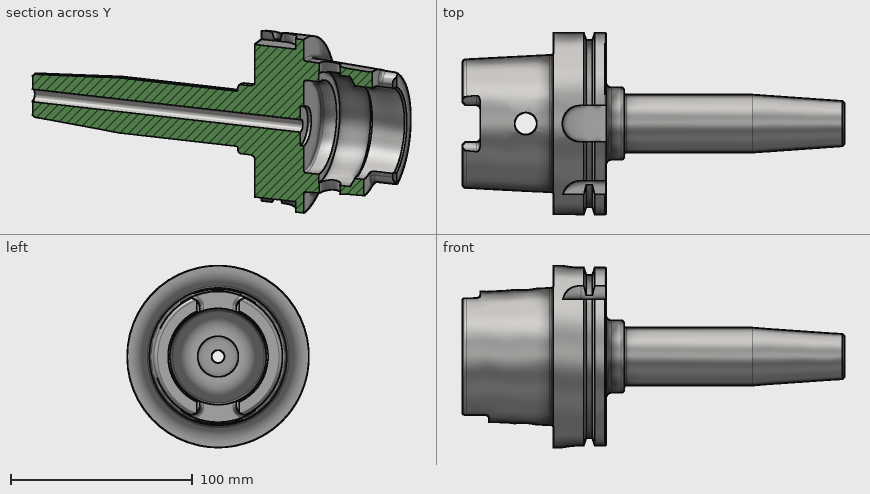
import cadquery as cq
import math


shank_length = 50.0
taper_large_diameter = 75.42
taper_gauge_x = -4.0
taper_rate = 1 / 10
shank_end_fillet = 2.0
taper_end = -2.4
shank_root_fillet = 1.2

flange_diameter = 100.0
flange_width = 29.0
flange_fillet = 0.9
groove_center = 19.7
groove_bottom_diameter = 92.0
groove_bottom_width = 3.4
groove_top_width = 6.0

collar_diameter = 40.0
collar_end = 39.0
collar_edge_fillet = 2.0
collar_base_fillet = 2.7
neck_diameter = 32.0
neck_base_fillet = 0.9
neck_end = 109.2
nose_end = 160.0
nose_diameter = 25.0
nose_chamfer = 1.3

bore_diameter = 53.0
bore_lead_in = 1.0
recess_diameter = 63.0
recess_start = -30.0
recess_end = -9.0
recess_cone_angle = 60.0
bore_floor = 0.0
floor_fillet = 1.3
floor_recess_diameter = 22.38
floor_recess_depth = 2.0
coolant_diameter = 6.92

cross_hole_diameter = 12.0
cross_hole_x = -15.2

notch_width = 20.0
notch_shelf_height = 32.2
notch_shoulder_radius = 5.6
notch_floor_fillet = 2.0
notch_entry_chamfer = 1.7
upper_notch_depth = 9.7
lower_notch_depth = 14.5

keyway_width = 20.0
keyway_floor_height = 44.0
keyway_start = 4.9
corner_notch_offset = 31.4

taper_large_radius = taper_large_diameter / 2
shank_left = -shank_length


def taper_radius(x):
    return taper_large_radius - (taper_gauge_x - x) * taper_rate / 2


def fillet_middle(center_x, center_radius, fillet, side_x, side_radius):
    """Middle point of a quarter arc; the side signs tell which way it bulges from its center."""
    reach = fillet * math.sqrt(0.5)
    return (center_x + side_x * reach, center_radius + side_radius * reach)


def make_body():
    """Revolve the outer outline: shank, flange, collar, neck and nose."""
    end_radius = taper_radius(shank_left)
    root_radius = taper_radius(taper_end)
    flange_radius = flange_diameter / 2
    groove_radius = groove_bottom_diameter / 2
    collar_radius = collar_diameter / 2
    neck_radius = neck_diameter / 2
    nose_radius = nose_diameter / 2

    end_x = shank_left + shank_end_fillet
    end_center = end_radius - shank_end_fillet
    root_center = root_radius + shank_root_fillet
    rim_x = flange_width - flange_fillet
    rim_center = flange_radius - flange_fillet
    base_x = flange_width + collar_base_fillet
    base_center = collar_radius + collar_base_fillet
    edge_x = collar_end - collar_edge_fillet
    edge_center = collar_radius - collar_edge_fillet
    neck_x = collar_end + neck_base_fillet
    neck_center = neck_radius + neck_base_fillet

    return (
        cq.Workplane("XY")
        .moveTo(shank_left, 0)
        .lineTo(shank_left, end_center)
        .threePointArc(fillet_middle(end_x, end_center, shank_end_fillet, -1, 1), (end_x, end_radius))
        .lineTo(taper_end, root_radius)
        .lineTo(-shank_root_fillet, root_radius)
        .threePointArc(
            fillet_middle(-shank_root_fillet, root_center, shank_root_fillet, 1, -1),
            (0, root_center),
        )
        .lineTo(0, flange_radius)
        .lineTo(groove_center - groove_top_width / 2, flange_radius)
        .lineTo(groove_center - groove_bottom_width / 2, groove_radius)
        .lineTo(groove_center + groove_bottom_width / 2, groove_radius)
        .lineTo(groove_center + groove_top_width / 2, flange_radius)
        .lineTo(rim_x, flange_radius)
        .threePointArc(fillet_middle(rim_x, rim_center, flange_fillet, 1, 1), (flange_width, rim_center))
        .lineTo(flange_width, base_center)
        .threePointArc(
            fillet_middle(base_x, base_center, collar_base_fillet, -1, -1),
            (base_x, collar_radius),
        )
        .lineTo(edge_x, collar_radius)
        .threePointArc(
            fillet_middle(edge_x, edge_center, collar_edge_fillet, 1, 1),
            (collar_end, edge_center),
        )
        .lineTo(collar_end, neck_center)
        .threePointArc(
            fillet_middle(neck_x, neck_center, neck_base_fillet, -1, -1),
            (neck_x, neck_radius),
        )
        .lineTo(neck_end, neck_radius)
        .lineTo(nose_end - nose_chamfer, nose_radius)
        .lineTo(nose_end, nose_radius - nose_chamfer)
        .lineTo(nose_end, 0)
        .close()
        .revolve(360, (0, 0, 0), (1, 0, 0))
    )


def make_cavity():
    """Revolve the clamping bore, its wider recess, the stepped floor and the coolant passage."""
    bore_radius = bore_diameter / 2
    recess_radius = recess_diameter / 2
    cone_length = (recess_radius - bore_radius) / math.tan(math.radians(recess_cone_angle))
    floor_recess_radius = floor_recess_diameter / 2
    floor_recess_end = bore_floor + floor_recess_depth
    coolant_radius = coolant_diameter / 2
    arc_offset = floor_fillet * (1 - math.sqrt(0.5))
    return (
        cq.Workplane("XY")
        .moveTo(shank_left, 0)
        .lineTo(shank_left, bore_radius + bore_lead_in)
        .lineTo(shank_left + bore_lead_in, bore_radius)
        .lineTo(recess_start, bore_radius)
        .lineTo(recess_start + cone_length, recess_radius)
        .lineTo(recess_end, recess_radius)
        .lineTo(recess_end, bore_radius)
        .lineTo(bore_floor - floor_fillet, bore_radius)
        .threePointArc(
            (bore_floor - arc_offset, bore_radius - arc_offset),
            (bore_floor, bore_radius - floor_fillet),
        )
        .lineTo(bore_floor, floor_recess_radius)
        .lineTo(floor_recess_end, floor_recess_radius)
        .lineTo(floor_recess_end, coolant_radius)
        .lineTo(nose_end, coolant_radius)
        .lineTo(nose_end, 0)
        .close()
        .revolve(360, (0, 0, 0), (1, 0, 0))
    )


def make_cross_hole():
    return (
        cq.Workplane("XY")
        .center(cross_hole_x, 0)
        .circle(cross_hole_diameter / 2)
        .extrude(taper_large_diameter, both=True)
    )


def make_drive_notch(depth):
    """Upper notch cutter: straight walls that flare over rounded shoulders onto a flat shelf."""
    half_width = notch_width / 2
    arc_start_height = notch_shelf_height - notch_shoulder_radius
    arc_end_y = half_width + notch_shoulder_radius
    arc_offset = notch_shoulder_radius * math.sqrt(0.5)
    arc_middle_y = arc_end_y - arc_offset
    arc_middle_height = arc_start_height + arc_offset
    outer = flange_diameter / 2

    cutter = (
        cq.Workplane("YZ", origin=(shank_left, 0, 0))
        .moveTo(-half_width, 0)
        .lineTo(half_width, 0)
        .lineTo(half_width, arc_start_height)
        .threePointArc((arc_middle_y, arc_middle_height), (arc_end_y, notch_shelf_height))
        .lineTo(outer, notch_shelf_height)
        .lineTo(outer, outer)
        .lineTo(-outer, outer)
        .lineTo(-outer, notch_shelf_height)
        .lineTo(-arc_end_y, notch_shelf_height)
        .threePointArc((-arc_middle_y, arc_middle_height), (-half_width, arc_start_height))
        .close()
        .extrude(depth)
        .faces(">X")
        .edges()
        .fillet(notch_floor_fillet)
    )
    entry_half_width = half_width + notch_entry_chamfer
    entry = (
        cq.Workplane("XY")
        .moveTo(shank_left, -entry_half_width)
        .lineTo(shank_left + notch_entry_chamfer, -half_width)
        .lineTo(shank_left + notch_entry_chamfer, half_width)
        .lineTo(shank_left, entry_half_width)
        .close()
        .extrude(outer)
    )
    return cutter.union(entry)


def make_keyway():
    """Upper keyway cutter: flat floor, rounded inner end, open at the right flange face."""
    radius = keyway_width / 2
    round_center = keyway_start + radius
    height = flange_diameter / 2
    cutter = cq.Workplane("XY", origin=(0, 0, keyway_floor_height))
    return (
        cutter
        .moveTo(flange_width, -radius)
        .lineTo(round_center, -radius)
        .threePointArc((keyway_start, 0), (round_center, radius))
        .lineTo(flange_width, radius)
        .close()
        .extrude(height)
    )


def make_corner_notch():
    """The keyway cutter moved to the upper -Y corner, with its wall and floor equally far from the axis."""
    shift_y = -(corner_notch_offset + keyway_width / 2)
    return make_keyway().translate((0, shift_y, corner_notch_offset - keyway_floor_height))


def turn_half(shape):
    return shape.rotate((0, 0, 0), (1, 0, 0), 180)


cutters = [
    make_cavity(),
    make_cross_hole(),
    make_drive_notch(upper_notch_depth),
    turn_half(make_drive_notch(lower_notch_depth)),
    make_keyway(),
    turn_half(make_keyway()),
    make_corner_notch(),
]

result = make_body()
for cutter in cutters:
    result = result.cut(cutter)